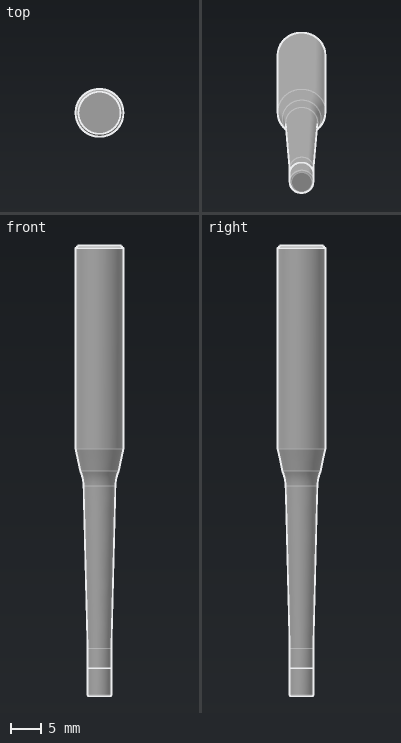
import cadquery as cq
import math

total_length = 75.0
shank_diameter = 8.0
shank_chamfer = 0.5
cutter_diameter = 4.0
corner_radius = 0.3
cutter_length = 4.7

collar_top = 8.0
taper_top = 35.0
cone_bottom = 37.5
cone_top = 41.2

shank_radius = shank_diameter / 2
cutter_radius = cutter_diameter / 2
taper_top_radius = 2.67
cone_half_angle = math.radians(12.0)
cone_bottom_radius = shank_radius - (cone_top - cone_bottom) * math.tan(cone_half_angle)


def make_cutting_head():
    """Cylindrical cutting head with a rounded corner at the tip."""
    head = cq.Workplane("XY").circle(cutter_radius).extrude(cutter_length)
    return head.faces("<Z").edges().fillet(corner_radius)


def make_shank():
    """Shank with its tapered neck, revolved around the tool axis."""
    profile = (
        cq.Workplane("XZ")
        .moveTo(0, cutter_length)
        .lineTo(cutter_radius, cutter_length)
        .lineTo(cutter_radius, collar_top)
        .lineTo(taper_top_radius, taper_top)
        .tangentArcPoint((cone_bottom_radius, cone_bottom), relative=False)
        .lineTo(shank_radius, cone_top)
        .lineTo(shank_radius, total_length - shank_chamfer)
        .lineTo(shank_radius - shank_chamfer, total_length)
        .lineTo(0, total_length)
        .close()
    )
    return profile.revolve(360, (0, 0, 0), (0, 1, 0))


cutting_head = make_cutting_head()
shank = make_shank()

result = cq.Compound.makeCompound([cutting_head.val(), shank.val()])